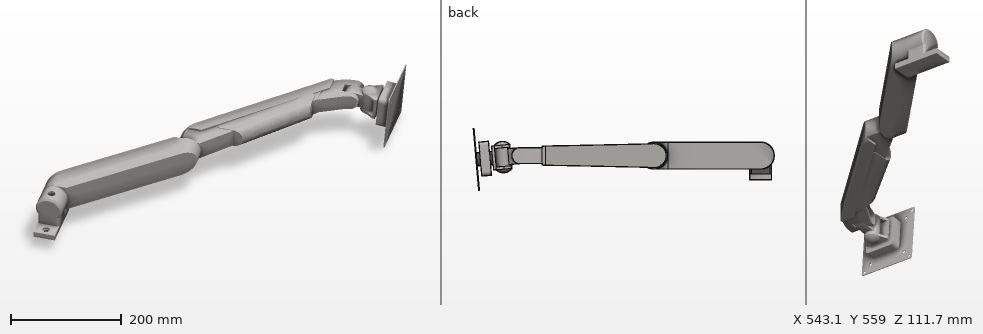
import cadquery as cq
import math


joint_diameter = 49.0
flange_length = 93.5
flange_width = 39.5
flange_thickness = 10.5
flange_bottom = -43.5
housing_start = 27.5
housing_end = 66.5
housing_chamfer = 3.5
post_chamfer = 3.5
screw_hole_diameter = 14.0
housing_hole_depth = 11.0
flange_hole_depth = 3.5
socket_diameter = 8.5
socket_depth = 6.5
flange_hole_inset = 13.0

collar_diameter = 48.0
collar_length = 3.5

elbow_x = 192.0
lower_arm_start = housing_end + collar_length
lower_arm_end = 267.5
lower_arm_end_length = 22.5
lower_arm_heel_length = 26.0
lower_arm_heel_x = 21.0

elbow_diameter = 43.0
upper_arm_start = lower_arm_end + collar_length
core_half_height = 17.5
core_tip_half_height = 15.5
core_tip_x = 381.5
core_tip_y = 455.5
outer_edge_offset = 129.5
channel_edge_offset = 98.0
channel_start = 304.5
channel_tip_x = 394.5
channel_tip_y = 518.5
channel_tip_half_height = 17.5
hinge_x = 434.5
head_y = 503.0
fork_diameter = 29.0
fork_low_y = 482.5
fork_high_y = 529.5
fork_root = (376.0, 455.5)
fork_low_bend = (419.5, 475.5)
fork_low_middle = (433.5, 481.0)
fork_high_middle = (408.5, 524.5)
fork_high_start = (393.0, 517.0)
fork_corner_radius = 4.0
slot_reach = 18.0

cover_start = 323.5
cover_end_x = 375.0
cover_half_height = 18.0
cover_bulge = 13.5
cover_corner_radius = 4.5

head_tilt = 5.0
tongue_width = 20.0
tongue_height = 29.0
tongue_nose_length = 17.0
swivel_x = 31.0
barrel_diameter = 28.0
leg_inner = 17.0
leg_outer = 22.0
cap_diameter = 29.0
cap_height = 6.5
yoke_width = 46.0
yoke_end = 50.0
yoke_back_thickness = 5.0
hub_diameter = 24.0
block_start = 54.0
block_end = 72.0
block_size = 62.0
block_corner_radius = 7.0
plate_start = 78.0
plate_thickness = 1.5
plate_size = 112.0
plate_corner_radius = 3.5
plate_hole_diameter = 5.3
plate_hole_pitches = (75.0, 100.0)

cover_bar_excess = 28.0


def cylinder_y(diameter, x, y_start, y_end):
    """Cylinder along Y, centred on Z = 0."""
    length = y_end - y_start
    return cq.Workplane("XZ", origin=(x, y_start, 0)).circle(diameter / 2).extrude(-length)


def plan_prism(points):
    """Tall prism with the given XY outline."""
    return cq.Workplane("XY").polyline(points).close().extrude(2 * joint_diameter, both=True)


def through_y(profile):
    """Extrude an XZ profile along +Y past the whole arm."""
    return profile.extrude(-(plate_size + fork_high_y))


def drill_down(y, top, diameter, depth):
    """Blind hole cutter on X = 0, going down from the height `top`."""
    return cq.Workplane("XY", origin=(0, y, top)).circle(diameter / 2).extrude(-depth)


def make_base():
    housing = cylinder_y(joint_diameter, 0, housing_start, housing_end)
    housing = housing.faces("<Y").chamfer(housing_chamfer)
    housing_middle = (housing_start + housing_end) / 2
    post_bottom = flange_bottom + flange_thickness
    post = (
        cq.Workplane("XY", origin=(0, housing_middle, post_bottom))
        .rect(flange_width, housing_end - housing_start)
        .extrude(-post_bottom)
        .edges("|Z")
        .chamfer(post_chamfer)
    )
    flange = (
        cq.Workplane("XY", origin=(0, flange_length / 2, flange_bottom))
        .rect(flange_width, flange_length)
        .extrude(flange_thickness)
    )
    base = housing.union(post).union(flange)
    base = base.cut(drill_down(housing_middle, joint_diameter / 2, screw_hole_diameter, housing_hole_depth))
    for y in (flange_hole_inset, flange_length - flange_hole_inset):
        base = base.cut(drill_down(y, post_bottom, screw_hole_diameter, flange_hole_depth))
        base = base.cut(drill_down(y, post_bottom, socket_diameter, socket_depth))
    return base


def make_lower_arm():
    radius = joint_diameter / 2
    outline = plan_prism([
        (-radius, lower_arm_start),
        (lower_arm_heel_x, lower_arm_start),
        (elbow_x + radius, lower_arm_end - lower_arm_end_length),
        (elbow_x + radius, lower_arm_end),
        (elbow_x - radius, lower_arm_end),
        (-radius, lower_arm_start + lower_arm_heel_length),
    ])
    stadium = through_y(
        cq.Workplane("XZ").center(elbow_x / 2, 0).slot2D(elbow_x + joint_diameter, joint_diameter)
    )
    collar = cylinder_y(collar_diameter, 0, housing_end, lower_arm_start)
    return stadium.intersect(outline).union(collar)


def make_core():
    """Flattened elbow cylinder running into a bar that gets thinner toward its tip."""
    radius = elbow_diameter / 2
    flat_x = elbow_x - math.sqrt(radius**2 - core_half_height**2)
    profile = (
        cq.Workplane("XZ")
        .moveTo(core_tip_x, core_tip_half_height)
        .lineTo(flat_x, core_half_height)
        .threePointArc((elbow_x - radius, 0), (flat_x, -core_half_height))
        .lineTo(core_tip_x, -core_tip_half_height)
        .close()
    )
    outline = plan_prism([
        (elbow_x - radius, upper_arm_start),
        (elbow_x + radius, upper_arm_start),
        (core_tip_x, core_tip_y),
        (core_tip_x, core_tip_x + outer_edge_offset),
        (elbow_x - radius, elbow_x - radius + outer_edge_offset),
    ])
    return through_y(profile).intersect(outline)


def make_channel():
    """Taller strip along the outer edge, round at the elbow and lower at its tip."""
    radius = elbow_diameter / 2
    profile = (
        cq.Workplane("XZ")
        .moveTo(channel_tip_x, channel_tip_half_height)
        .lineTo(elbow_x, radius)
        .threePointArc((elbow_x - radius, 0), (elbow_x, -radius))
        .lineTo(channel_tip_x, -channel_tip_half_height)
        .close()
    )
    outline = plan_prism([
        (channel_start - outer_edge_offset, channel_start),
        (channel_start - channel_edge_offset, channel_start),
        (channel_tip_x, channel_tip_x + channel_edge_offset),
        (channel_tip_x, channel_tip_y),
        (channel_tip_y - outer_edge_offset, channel_tip_y),
    ])
    return through_y(profile).intersect(outline)


def make_fork():
    """Curved end of the upper arm with a round nose, and the cutter of its tongue slot."""
    radius = fork_diameter / 2
    nose_x = hinge_x + radius
    outline = (
        cq.Workplane("XY")
        .moveTo(*fork_root)
        .lineTo(core_tip_x, core_tip_y)
        .lineTo(*fork_low_bend)
        .threePointArc(fork_low_middle, (nose_x, fork_low_y))
        .lineTo(nose_x, fork_high_y)
        .lineTo(hinge_x, fork_high_y)
        .threePointArc(fork_high_middle, fork_high_start)
        .close()
        .extrude(joint_diameter, both=True)
        .edges("|Z and >X")
        .fillet(fork_corner_radius)
    )
    length = nose_x - fork_root[0]
    profile = through_y(
        cq.Workplane("XZ").center(nose_x - length, 0).slot2D(2 * length, fork_diameter)
    )
    slot_end_x = nose_x + fork_diameter
    slot_start_x = hinge_x - slot_reach
    slot = cq.Workplane("XY", origin=((slot_start_x + slot_end_x) / 2, head_y, 0)).box(
        slot_end_x - slot_start_x, tongue_width, 2 * fork_diameter
    )
    return profile.intersect(outline), slot


def make_upper_arm():
    fork, slot = make_fork()
    collar = cylinder_y(collar_diameter, elbow_x, lower_arm_end, upper_arm_start)
    return make_core().union(make_channel()).union(fork).union(collar).cut(slot)


def make_cover(upper_arm):
    """Half-round shell along the inner edge of the core."""
    radius = elbow_diameter / 2
    edge_start = (elbow_x + radius, upper_arm_start)
    run = core_tip_x - edge_start[0]
    rise = core_tip_y - edge_start[1]
    section_plane = cq.Plane(
        origin=(edge_start[0], edge_start[1], 0), xDir=(rise, -run, 0), normal=(run, rise, 0)
    )
    bar_length = math.hypot(run, rise) + cover_bar_excess
    flat_width = 2 * elbow_diameter
    flats = (
        cq.Workplane(section_plane)
        .center(-flat_width / 2, 0)
        .rect(flat_width, 2 * cover_half_height)
        .extrude(bar_length)
    )
    bulge = cq.Workplane(section_plane).ellipse(cover_bulge, cover_half_height).extrude(bar_length)
    outline = plan_prism([
        (cover_start - channel_edge_offset, cover_start),
        (cover_end_x, cover_start),
        (cover_end_x, cover_end_x + channel_edge_offset),
    ])
    rounded_corners = outline.edges("|Z and (<X or >Y)").fillet(cover_corner_radius)
    return flats.union(bulge).intersect(rounded_corners).cut(upper_arm)


def place_head(body):
    """Move a body from the hinge frame to its tilted place on the arm."""
    return body.rotate((0, 0, 0), (0, 1, 0), head_tilt).translate((hinge_x, head_y, 0))


def plate_x_slab(start, end, size, corner_radius):
    """Square slab facing x with rounded corners."""
    return (
        cq.Workplane("YZ", origin=(start, 0, 0))
        .rect(size, size)
        .extrude(end - start)
        .edges("|X")
        .fillet(corner_radius)
    )


def make_knuckle():
    """Tongue with a round end at the tilt hinge and an upright barrel at the swivel axis."""
    nose = (
        cq.Workplane("XZ")
        .ellipse(tongue_nose_length, tongue_height / 2)
        .extrude(tongue_width / 2, both=True)
    )
    bar = cq.Workplane("XY", origin=(swivel_x / 2, 0, 0)).box(swivel_x, tongue_width, tongue_height)
    barrel = cq.Workplane("XY").center(swivel_x, 0).circle(barrel_diameter / 2).extrude(leg_inner, both=True)
    return nose.union(bar).union(barrel)


def make_cap():
    """Shallow dome on top of the upper yoke leg."""
    radius = cap_diameter / 2
    sphere_radius = (radius**2 + cap_height**2) / (2 * cap_height)
    cap_top = leg_outer + cap_height
    disc = cq.Workplane("XY", origin=(swivel_x, 0, leg_outer)).circle(radius).extrude(cap_height)
    ball = cq.Workplane("XY", origin=(swivel_x, 0, cap_top - sphere_radius)).sphere(sphere_radius)
    return disc.intersect(ball)


def make_yoke():
    """Two flared legs that hold the barrel, joined by a back wall and capped by domes."""
    radius = cap_diameter / 2
    flare_x = yoke_end - yoke_back_thickness
    leg = (
        cq.Workplane("XY", origin=(0, 0, leg_inner))
        .moveTo(swivel_x, radius)
        .lineTo(flare_x, yoke_width / 2)
        .lineTo(yoke_end, yoke_width / 2)
        .lineTo(yoke_end, -yoke_width / 2)
        .lineTo(flare_x, -yoke_width / 2)
        .lineTo(swivel_x, -radius)
        .threePointArc((swivel_x - radius, 0), (swivel_x, radius))
        .close()
        .extrude(leg_outer - leg_inner)
    )
    capped_leg = leg.union(make_cap())
    back = cq.Workplane("XY", origin=((flare_x + yoke_end) / 2, 0, 0)).box(
        yoke_back_thickness, yoke_width, 2 * leg_outer
    )
    return back.union(capped_leg).union(capped_leg.mirror("XY"))


def make_plate():
    """Screen plate and mounting block on one hub."""
    plate_end = plate_start + plate_thickness
    plate = plate_x_slab(plate_start, plate_end, plate_size, plate_corner_radius)
    for pitch in plate_hole_pitches:
        plate = (
            plate.faces(">X")
            .workplane(origin=(0, 0, 0))
            .rect(pitch, pitch, forConstruction=True)
            .vertices()
            .hole(plate_hole_diameter)
        )
    block = plate_x_slab(block_start, block_end, block_size, block_corner_radius)
    hub = (
        cq.Workplane("YZ", origin=(yoke_end, 0, 0))
        .circle(hub_diameter / 2)
        .extrude(plate_start - yoke_end)
    )
    return plate.union(block).union(hub)


base = make_base()
lower_arm = make_lower_arm()
upper_arm = make_upper_arm()
cable_cover = make_cover(upper_arm)
knuckle = place_head(make_knuckle())
yoke = place_head(make_yoke())
plate = place_head(make_plate())

result = cq.Compound.makeCompound([
    *base.solids().vals(),
    *lower_arm.solids().vals(),
    *upper_arm.solids().vals(),
    *cable_cover.solids().vals(),
    *knuckle.solids().vals(),
    *yoke.solids().vals(),
    *plate.solids().vals(),
])